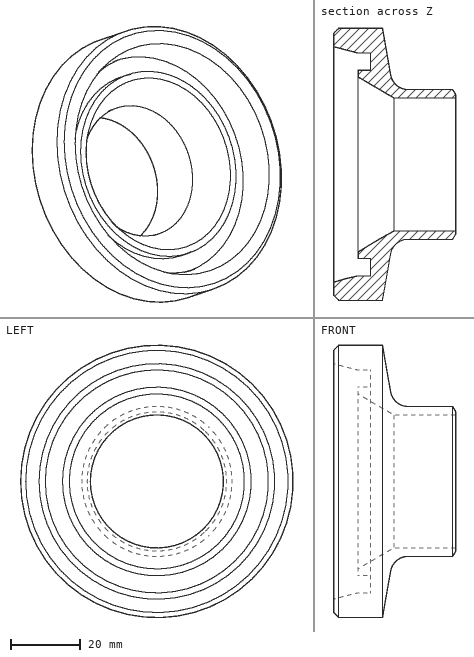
import cadquery as cq
import math

length = 35.0
flange_radius = 39.0

flange_rim_end = 14.05
flange_chamfer = 1.5
back_cone_angle = math.radians(10)

neck_radius = 43.0 / 2
neck_fillet = 5.0
neck_start = 21.3
neck_chamfer_length = 0.9
neck_chamfer_depth = 1.55

mouth_radius = 33.7
recess_radius = 63.8 / 2
taper_depth = 6.9
recess_depth = 10.5
ring_outer_radius = 54.0 / 2
ring_inner_radius = 25.0
ring_face = 7.0

bore_radius = 38.0 / 2
bore_start = 17.3


def outer_body():
    """Revolved solid: chamfered flange, conical back, filleted neck."""
    fillet_center = (neck_start, neck_radius + neck_fillet)

    def fillet_point(angle):
        return (
            fillet_center[0] - neck_fillet * math.cos(angle),
            fillet_center[1] - neck_fillet * math.sin(angle),
        )

    middle_angle = (back_cone_angle + math.pi / 2) / 2
    profile = (
        cq.Workplane("XY")
        .moveTo(0, 0)
        .lineTo(0, flange_radius - flange_chamfer)
        .lineTo(flange_chamfer, flange_radius)
        .lineTo(flange_rim_end, flange_radius)
        .lineTo(*fillet_point(back_cone_angle))
        .threePointArc(fillet_point(middle_angle), (neck_start, neck_radius))
        .lineTo(length - neck_chamfer_length, neck_radius)
        .lineTo(length, neck_radius - neck_chamfer_depth)
        .lineTo(length, 0)
        .close()
    )
    return profile.revolve(360, (0, 0, 0), (1, 0, 0))


def inner_void():
    """Revolved cutter: tapered recess around the raised ring, conical entry and bore."""
    profile = (
        cq.Workplane("XY")
        .moveTo(0, 0)
        .lineTo(0, mouth_radius)
        .lineTo(taper_depth, recess_radius)
        .lineTo(recess_depth, recess_radius)
        .lineTo(recess_depth, ring_outer_radius)
        .lineTo(ring_face, ring_outer_radius)
        .lineTo(ring_face, ring_inner_radius)
        .lineTo(bore_start, bore_radius)
        .lineTo(length, bore_radius)
        .lineTo(length, 0)
        .close()
    )
    return profile.revolve(360, (0, 0, 0), (1, 0, 0))


result = outer_body().cut(inner_void())